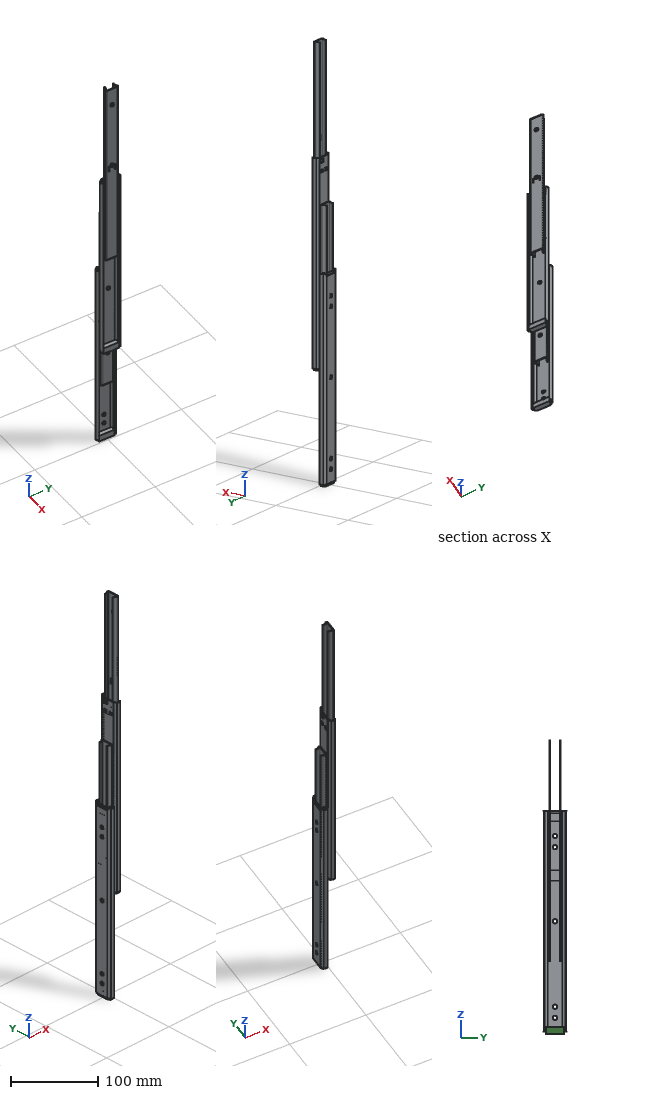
import cadquery as cq
import math

TOTAL_LENGTH = 532.6
SLIDE_DEPTH = 9.5
RAIL_LENGTH = 254.0
OUTER_SHEET = 1.5
INNER_SHEET = 1.2

OUTER_HALF_WIDTH = 13.5
TRACK_OUTER_RADIUS = 4.4
TRACK_X = 5.0
TRACK_Y = OUTER_HALF_WIDTH - TRACK_OUTER_RADIUS
TRACK_INNER_RADIUS = TRACK_OUTER_RADIUS - OUTER_SHEET

WEB_HALF_WIDTH = 8.9
WEB_INSIDE_HALF_WIDTH = 8.5
SHOULDER_END_ANGLE = 124.0
LIP_END_ANGLE = 34.0

INNER_HALF_WIDTH = 8.8
INNER_BEND_RADIUS = 1.6
GROOVE_X = 3.4
GROOVE_RADIUS = 4.1
INNER_LIP_X = 1.8

BUMPER_OVERHANG = 2.6
BUMPER_INSERTION = 6.0
BUMPER_HALF_WIDTH = 10.6
BUMPER_CORNER_DEPTH = 1.7
BUMPER_FRONT_X = 7.4

CAGE_LENGTH = 80.0
CAGE_WEB = 0.3
CAGE_FLANGE = 0.6
CAGE_FRONT_X = 6.0
CAGE_HALF_WIDTH = WEB_INSIDE_HALF_WIDTH
CAGE_BRIDGE = 12.0

LOWER_OUTER_Z = BUMPER_OVERHANG
UPPER_OUTER_Z = 140.6
LOWER_INNER_TOP = 337.8
LOWER_INNER_Z = LOWER_INNER_TOP - RAIL_LENGTH
UPPER_INNER_Z = TOTAL_LENGTH - RAIL_LENGTH
LOWER_CAGE_Z = LOWER_OUTER_Z + RAIL_LENGTH - CAGE_LENGTH
UPPER_CAGE_Z = 306.0

HOLE_DIAMETER = 4.8
HOLE_PAIR_PITCH = 12.8
LOW_HOLE_Z = 18.8
MIDDLE_HOLE_Z = 129.8
HIGH_HOLE_Z = 227.8
LOWER_OUTER_HOLES = [
    LOW_HOLE_Z,
    LOW_HOLE_Z + HOLE_PAIR_PITCH,
    MIDDLE_HOLE_Z,
    HIGH_HOLE_Z - HOLE_PAIR_PITCH,
    HIGH_HOLE_Z,
]
LOWER_INNER_HOLES = [MIDDLE_HOLE_Z, HIGH_HOLE_Z]
UPPER_OUTER_HOLES = [HIGH_HOLE_Z]
LATCH_HOLE_Z = 418.0
UPPER_INNER_TOP_HOLE_Z = 508.3
UPPER_INNER_HOLES = [LATCH_HOLE_Z, UPPER_INNER_TOP_HOLE_Z]

NOTCH_DEPTH = 2.8
STOP_WINDOW_WIDTH = 6.0
STOP_WINDOW_HEIGHT = 4.4
STOP_WINDOW_Y = 4.3
STOP_WINDOW_DROP = 4.6
PAIR_WINDOW_WIDTH = 4.8
PAIR_WINDOW_HEIGHT = 3.2
PAIR_WINDOW_Y = 4.8
PAIR_WINDOW_DROP = 16.8
LATCH_SLIT_WIDTH = 1.0
LATCH_SLIT_LENGTH = 6.5
LATCH_SLIT_Y = 4.2
LATCH_SLIT_DROP = 4.0


def track_point(radius, angle):
    """Point at a radius and angle (degrees from +X) about the +Y ball track."""
    turn = math.radians(angle)
    return (TRACK_X + radius * math.cos(turn), TRACK_Y + radius * math.sin(turn))


def outer_rail(slide_x, bottom_z):
    """C-shaped rail: flat web on the -X side, sloping shoulders and lips curled around the balls."""
    middle_angle = (SHOULDER_END_ANGLE + LIP_END_ANGLE) / 2
    half = (
        cq.Workplane("XY")
        .moveTo(0, 0)
        .lineTo(0, WEB_HALF_WIDTH)
        .lineTo(*track_point(TRACK_OUTER_RADIUS, SHOULDER_END_ANGLE))
        .threePointArc(
            track_point(TRACK_OUTER_RADIUS, middle_angle),
            track_point(TRACK_OUTER_RADIUS, LIP_END_ANGLE),
        )
        .lineTo(*track_point(TRACK_INNER_RADIUS, LIP_END_ANGLE))
        .threePointArc(
            track_point(TRACK_INNER_RADIUS, middle_angle),
            track_point(TRACK_INNER_RADIUS, SHOULDER_END_ANGLE),
        )
        .lineTo(OUTER_SHEET, WEB_INSIDE_HALF_WIDTH)
        .lineTo(OUTER_SHEET, 0)
        .close()
        .extrude(RAIL_LENGTH)
    )
    return half.union(half.mirror("XZ")).translate((slide_x, 0, bottom_z))


def inner_rail(slide_x, bottom_z):
    """Channel with its web on the +X side; each edge bends smoothly into a ball groove."""
    bend_x = SLIDE_DEPTH - INNER_BEND_RADIUS
    bend_y = INNER_HALF_WIDTH - INNER_BEND_RADIUS
    bend_inside = INNER_BEND_RADIUS - INNER_SHEET
    groove_back = GROOVE_RADIUS + INNER_SHEET
    turn = math.asin((bend_x - GROOVE_X) / (INNER_BEND_RADIUS + GROOVE_RADIUS))
    groove_y = bend_y + (INNER_BEND_RADIUS + GROOVE_RADIUS) * math.cos(turn)
    bend_middle = (math.pi / 2 + turn) / 2

    def bend_point(radius):
        return (bend_x + radius * math.cos(bend_middle), bend_y + radius * math.sin(bend_middle))

    def groove_point(radius, angle):
        return (GROOVE_X + radius * math.sin(angle), groove_y - radius * math.cos(angle))

    half = (
        cq.Workplane("XY")
        .moveTo(SLIDE_DEPTH, 0)
        .lineTo(SLIDE_DEPTH, bend_y)
        .threePointArc(bend_point(INNER_BEND_RADIUS), groove_point(GROOVE_RADIUS, turn))
        .threePointArc(groove_point(GROOVE_RADIUS, turn / 2), groove_point(GROOVE_RADIUS, 0))
        .lineTo(INNER_LIP_X, groove_y - GROOVE_RADIUS)
        .lineTo(INNER_LIP_X, groove_y - groove_back)
        .lineTo(*groove_point(groove_back, 0))
        .threePointArc(groove_point(groove_back, turn / 2), groove_point(groove_back, turn))
        .threePointArc(bend_point(bend_inside), (bend_x + bend_inside, bend_y))
        .lineTo(bend_x + bend_inside, 0)
        .close()
        .extrude(RAIL_LENGTH)
    )
    return half.union(half.mirror("XZ")).translate((slide_x, 0, bottom_z))


def bumper(slide_x, rail_bottom_z):
    """Plastic plug in the bottom of an outer rail, resting on its web."""
    corner_x = OUTER_SHEET + BUMPER_CORNER_DEPTH
    half = (
        cq.Workplane("XY")
        .moveTo(OUTER_SHEET, 0)
        .lineTo(OUTER_SHEET, WEB_INSIDE_HALF_WIDTH)
        .lineTo(corner_x, BUMPER_HALF_WIDTH)
        .lineTo(BUMPER_FRONT_X, BUMPER_HALF_WIDTH)
        .lineTo(BUMPER_FRONT_X, 0)
        .close()
        .extrude(BUMPER_OVERHANG + BUMPER_INSERTION)
    )
    return half.union(half.mirror("XZ")).translate((slide_x, 0, rail_bottom_z - BUMPER_OVERHANG))


def ball_cage(slide_x, bottom_z):
    """Thin channel on the outer rail's web, open in the middle so the mounting holes stay clear."""
    depth = CAGE_FRONT_X - OUTER_SHEET
    inside_width = 2 * (CAGE_HALF_WIDTH - CAGE_FLANGE)
    channel = cq.Workplane("XY").box(depth, 2 * CAGE_HALF_WIDTH, CAGE_LENGTH, centered=(False, True, False))
    hollow = (
        cq.Workplane("XY")
        .box(depth, inside_width, CAGE_LENGTH, centered=(False, True, False))
        .translate((CAGE_WEB, 0, 0))
    )
    web_opening = (
        cq.Workplane("XY")
        .box(CAGE_WEB, inside_width, CAGE_LENGTH - 2 * CAGE_BRIDGE, centered=(False, True, False))
        .translate((0, 0, CAGE_BRIDGE))
    )
    return channel.cut(hollow).cut(web_opening).translate((slide_x + OUTER_SHEET, 0, bottom_z))


def drill(rail, web_x, sheet, heights):
    """Cut the mounting holes through a rail's web, which starts at web_x."""
    for height in heights:
        hole = (
            cq.Workplane("YZ", origin=(web_x, 0, height))
            .circle(HOLE_DIAMETER / 2)
            .extrude(sheet)
        )
        rail = rail.cut(hole)
    return rail


def cut_window(rail, web_x, sheet, y, z, width, height):
    """Cut a rectangular opening, centred at y and z, through a rail's web."""
    window = cq.Workplane("YZ", origin=(web_x, y, z)).rect(width, height).extrude(sheet)
    return rail.cut(window)


lower_outer_top = LOWER_OUTER_Z + RAIL_LENGTH
lower_outer = drill(outer_rail(0, LOWER_OUTER_Z), 0, OUTER_SHEET, LOWER_OUTER_HOLES)
lower_outer = cut_window(
    lower_outer,
    0,
    OUTER_SHEET,
    0,
    lower_outer_top,
    2 * WEB_INSIDE_HALF_WIDTH,
    2 * NOTCH_DEPTH,
)

inner_web_x = SLIDE_DEPTH - INNER_SHEET
lower_inner = drill(inner_rail(0, LOWER_INNER_Z), inner_web_x, INNER_SHEET, LOWER_INNER_HOLES)
lower_cage = ball_cage(0, LOWER_CAGE_Z)
lower_bumper = bumper(0, LOWER_OUTER_Z)

upper_outer_top = UPPER_OUTER_Z + RAIL_LENGTH
upper_outer = outer_rail(SLIDE_DEPTH, UPPER_OUTER_Z)
upper_outer = drill(upper_outer, SLIDE_DEPTH, OUTER_SHEET, UPPER_OUTER_HOLES)
upper_outer = cut_window(
    upper_outer,
    SLIDE_DEPTH,
    OUTER_SHEET,
    STOP_WINDOW_Y,
    upper_outer_top - STOP_WINDOW_DROP,
    STOP_WINDOW_WIDTH,
    STOP_WINDOW_HEIGHT,
)
for side in (-1, 1):
    upper_outer = cut_window(
        upper_outer,
        SLIDE_DEPTH,
        OUTER_SHEET,
        side * PAIR_WINDOW_Y,
        upper_outer_top - PAIR_WINDOW_DROP,
        PAIR_WINDOW_WIDTH,
        PAIR_WINDOW_HEIGHT,
    )

upper_inner_web_x = SLIDE_DEPTH + inner_web_x
upper_inner = inner_rail(SLIDE_DEPTH, UPPER_INNER_Z)
upper_inner = drill(upper_inner, upper_inner_web_x, INNER_SHEET, UPPER_INNER_HOLES)
for side in (-1, 1):
    upper_inner = cut_window(
        upper_inner,
        upper_inner_web_x,
        INNER_SHEET,
        side * LATCH_SLIT_Y,
        LATCH_HOLE_Z - LATCH_SLIT_DROP,
        LATCH_SLIT_WIDTH,
        LATCH_SLIT_LENGTH,
    )
upper_cage = ball_cage(SLIDE_DEPTH, UPPER_CAGE_Z)
upper_bumper = bumper(SLIDE_DEPTH, UPPER_OUTER_Z)

result = cq.Compound.makeCompound([
    lower_outer.val(),
    lower_inner.val(),
    lower_cage.val(),
    lower_bumper.val(),
    upper_outer.val(),
    upper_inner.val(),
    upper_cage.val(),
    upper_bumper.val(),
])